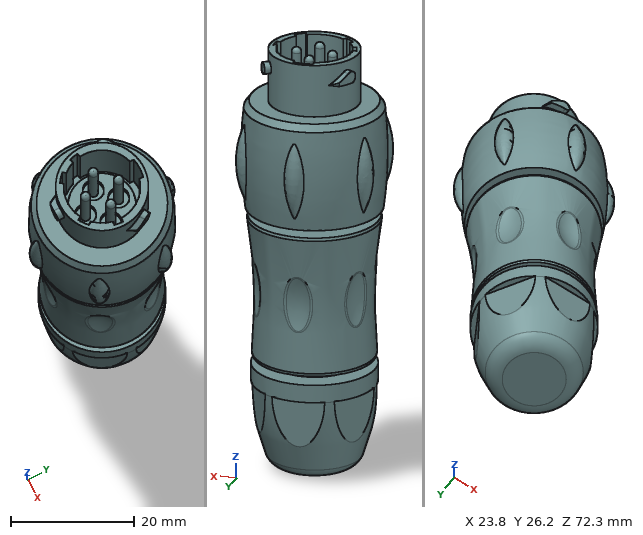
import cadquery as cq
import math


nut_bottom_edge = 1.95
flat_top = 14.6
nut_top = 17.65
body_bottom = 19.1
body_top = 43.5
collar_bottom = 44.95
collar_chamfer_bottom = 62.15
collar_top = 63.3
shell_top = 72.3

nut_face_radius = 4.7
nut_edge_mid = (7.0, 0.7)
nut_edge_radius = 7.95
nut_waist = (9.3, 6.4)
nut_rim_radius = 10.3

flat_count = 6
flat_distance = 9.3

rear_neck_radius = 6.8
body_bottom_radius = 10.2
body_waist = (9.9, 31.6)
body_top_radius = 11.0
body_edge = 0.5
body_edge_inset = 0.15

front_neck_radius = 7.5
collar_bottom_radius = 11.3
collar_belly = (11.9, 53.7)
collar_shoulder_radius = 11.5
collar_top_radius = 10.6

grip_count = 6
rib_half_length = 7.1
rib_half_width = 1.7
rib_tip_radius = 13.1
dimple_height = 30.9
dimple_half_length = 4.5
dimple_half_width = 2.25
dimple_depth = 0.7
dimple_rim_fillet = 0.7

shell_radius = 7.5
bore_radius = 6.2
bore_floor = 61.1
insulator_radius = 5.6
insulator_top = 62.15
pin_count = 4
pin_circle_radius = 3.0
pin_radius = 0.8
pin_top = 72.2
pin_tip_round = 0.99
pin_recess_radius = 1.7

keyway_radius = 6.9
keyways = ((90, 3.3), (194, 1.5), (229, 1.9), (306, 1.9), (355.5, 1.5))

lug_count = 3
lug_height = 69.7
lug_end_radius = 1.0
lug_tail_length = 3.25
lug_outer_radius = 8.6
lug_tail_angle = 30


def around_axis(solid, count):
    """Copies of a solid evenly spaced about Z."""
    copies = cq.Workplane("XY")
    for i in range(count):
        copies = copies.add(solid.rotate((0, 0, 0), (0, 0, 1), i * 360 / count))
    return copies.combine()


def disc(radius, bottom, top):
    return cq.Workplane("XY").workplane(offset=bottom).circle(radius).extrude(top - bottom)


def make_nut():
    """Tapered cable nut with six flats ending under its rim."""
    nut = (
        cq.Workplane("XZ")
        .lineTo(nut_face_radius, 0)
        .threePointArc(nut_edge_mid, (nut_edge_radius, nut_bottom_edge))
        .threePointArc(nut_waist, (nut_rim_radius, flat_top))
        .lineTo(nut_rim_radius, nut_top)
        .lineTo(0, nut_top)
        .close()
        .revolve(360, (0, 0), (0, 1))
    )
    flat_core = (
        cq.Workplane("XY")
        .polygon(flat_count, 2 * flat_distance, circumscribed=True)
        .extrude(flat_top)
        .rotate((0, 0, 0), (0, 0, 1), 180 / flat_count)
    )
    return nut.intersect(flat_core.union(disc(nut_rim_radius, flat_top, nut_top)))


def make_dimple():
    """Ring segment that scoops one dimple out of the -Y side of the body."""
    waist_radius = body_waist[0]
    floor_radius = waist_radius - dimple_depth
    rim_radius = math.sqrt(waist_radius**2 - dimple_half_width**2)
    width_sagitta = rim_radius - floor_radius
    section_radius = (dimple_half_width**2 + width_sagitta**2) / (2 * width_sagitta)
    sweep_radius = (dimple_half_length**2 + dimple_depth**2) / (2 * dimple_depth)
    sweep_offset = sweep_radius - section_radius
    return (
        cq.Workplane("XY", origin=(0, -floor_radius - section_radius, dimple_height))
        .circle(section_radius)
        .revolve(360, (-0.7, -sweep_offset), (0.7, -sweep_offset))
    )


def make_body():
    """Waisted grip body with six finger dimples."""
    body = (
        cq.Workplane("XZ")
        .moveTo(0, body_bottom)
        .lineTo(body_bottom_radius - body_edge_inset, body_bottom)
        .lineTo(body_bottom_radius, body_bottom + body_edge)
        .threePointArc(body_waist, (body_top_radius, body_top - body_edge))
        .lineTo(body_top_radius - body_edge_inset, body_top)
        .lineTo(0, body_top)
        .close()
        .revolve(360, (0, 0), (0, 1))
    )
    body = body.cut(around_axis(make_dimple(), grip_count))
    rim_edges = cq.selectors.BoxSelector(
        (-body_top_radius, -body_top_radius, dimple_height - dimple_half_length),
        (body_top_radius, body_top_radius, dimple_height + dimple_half_length),
    )
    return body.edges(rim_edges).fillet(dimple_rim_fillet)


def make_collar():
    """Barrel-shaped coupling collar with six pointed ribs."""
    collar = (
        cq.Workplane("XZ")
        .moveTo(0, collar_bottom)
        .lineTo(collar_bottom_radius, collar_bottom)
        .threePointArc(collar_belly, (collar_shoulder_radius, collar_chamfer_bottom))
        .lineTo(collar_top_radius, collar_top)
        .lineTo(0, collar_top)
        .close()
        .revolve(360, (0, 0), (0, 1))
    )
    rib = (
        cq.Workplane("XZ", origin=(0, rib_half_width - rib_tip_radius, collar_belly[1]))
        .moveTo(0, -rib_half_length)
        .threePointArc((rib_half_width, 0), (0, rib_half_length))
        .close()
        .revolve(360, (0, 0), (0, 1))
    )
    return collar.union(around_axis(rib, grip_count))


def make_lug():
    """Teardrop bayonet lug on the -Y side, its tail sloping in towards the shell."""
    tail_angle = 2 * math.atan(lug_end_radius / lug_tail_length)
    tangent_point = (-lug_end_radius * math.sin(tail_angle), lug_end_radius * math.cos(tail_angle))
    teardrop = (
        cq.Workplane("XZ", origin=(0, 0, lug_height))
        .moveTo(-lug_tail_length, -lug_end_radius)
        .lineTo(0, -lug_end_radius)
        .threePointArc((lug_end_radius, 0), tangent_point)
        .close()
        .extrude(lug_outer_radius)
    )
    tail_root = math.sqrt(shell_radius**2 - lug_tail_length**2)
    tail_run = (lug_outer_radius - tail_root) * math.tan(math.radians(lug_tail_angle))
    plan = (
        cq.Workplane("XY", origin=(0, 0, lug_height - lug_end_radius))
        .polyline([
            (-lug_tail_length, -tail_root),
            (tail_run - lug_tail_length, -lug_outer_radius),
            (lug_end_radius, -lug_outer_radius),
            (lug_end_radius, -tail_root),
        ])
        .close()
        .extrude(2 * lug_end_radius)
    )
    return teardrop.intersect(plan).intersect(disc(lug_outer_radius, 0, shell_top))


def make_shell():
    """Plug shell with keyed bore and bayonet lugs."""
    shell = disc(shell_radius, bore_floor, shell_top).cut(disc(bore_radius, bore_floor, shell_top))
    for angle, width in keyways:
        slot = (
            cq.Workplane("XY", origin=(0, 0, bore_floor))
            .rect(keyway_radius, width)
            .extrude(shell_top - bore_floor)
            .translate((keyway_radius / 2, 0, 0))
            .intersect(disc(keyway_radius, bore_floor, shell_top))
            .rotate((0, 0, 0), (0, 0, 1), angle)
        )
        shell = shell.cut(slot)
    return shell.union(around_axis(make_lug(), lug_count))


def make_insulator():
    """Insulator disc with four round-tipped pins standing in shallow recesses."""
    recess = disc(pin_recess_radius, bore_floor, insulator_top).translate((pin_circle_radius, 0, 0))
    pin = (
        disc(pin_radius, bore_floor, pin_top)
        .faces(">Z")
        .edges()
        .fillet(pin_tip_round * pin_radius)
        .translate((pin_circle_radius, 0, 0))
    )
    insulator = disc(insulator_radius, bore_floor, insulator_top)
    return insulator.cut(around_axis(recess, pin_count)).union(around_axis(pin, pin_count))


rear_neck = disc(rear_neck_radius, nut_top, body_bottom)
front_neck = disc(front_neck_radius, body_top, collar_bottom)
shell_socket = disc(shell_radius, bore_floor, collar_top)

result = (
    make_nut()
    .union(rear_neck)
    .union(make_body())
    .union(front_neck)
    .union(make_collar().cut(shell_socket))
    .union(make_shell())
    .union(make_insulator())
)